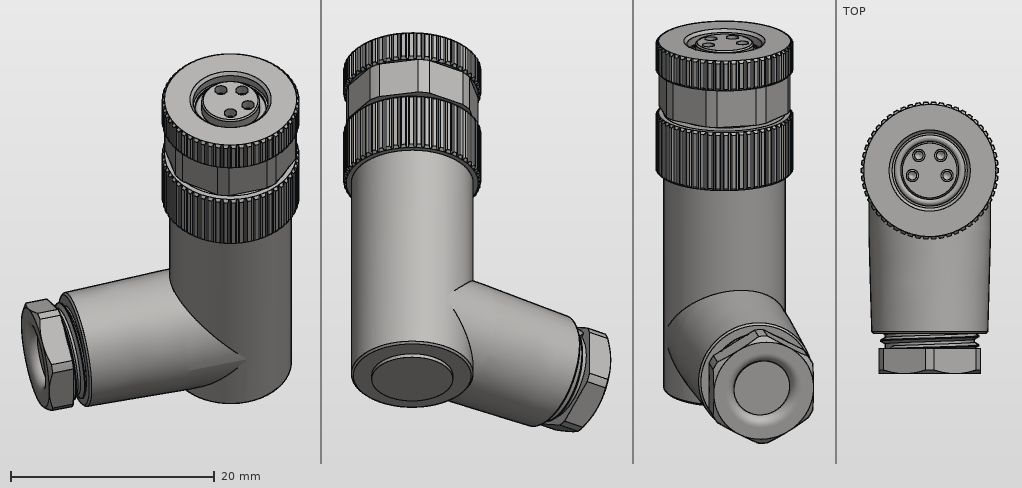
import cadquery as cq
import math

barrel_dia = 12.0
barrel_top = 28.5
bottom_chamfer = 0.2
neck_dia = 10.0
neck_height = 0.5
neck_top = barrel_top + neck_height
foot_dia = 8.0
foot_height = 0.4

branch_z = barrel_dia / 2
branch_taper_start = 6.0
branch_end = 16.05
branch_end_dia = 11.45
branch_end_chamfer = 0.2

knurl_dia = 13.5
knurl_count = 54
knurl_depth = 0.2
crest_share = 0.5
valley_share = 0.25
knurl_chamfer = 0.25

grip_bottom = 22.5
grip_height = barrel_top - grip_bottom

octagon_sides = 8
octagon_flats = 12.4
octagon_corner_dia = 13.0
octagon_height = 3.8
nut_knurl_bottom = neck_top + octagon_height
nut_knurl_height = 3.1
nut_top = nut_knurl_bottom + nut_knurl_height
nut_bore_dia = 7.0
nut_mouth_dia = 8.0
nut_counterbore_dia = 7.4
nut_counterbore_depth = 1.1
nut_mouth_depth = (nut_mouth_dia - nut_counterbore_dia) / 2

insert_dia = 5.7
insert_top = nut_top - 0.15
insert_edge = 0.15
seal_section_dia = (nut_bore_dia - insert_dia) / 2
seal_z = nut_top - nut_counterbore_depth - seal_section_dia / 2
insert_shoulder_z = seal_z - seal_section_dia / 2

socket_points = [(-1.08, 1.48), (1.08, 1.48), (-1.71, -0.5), (1.71, -0.5)]
socket_entry_dia = 1.2
socket_entry_depth = 1.0
contact_dia = 1.8
contact_bore_dia = 0.85
contact_bore_depth = 3.0
drill_point_angle = 118.0
contact_point_depth = contact_bore_dia / 2 / math.tan(math.radians(drill_point_angle / 2))
contact_top = insert_top - socket_entry_depth
contact_length = contact_top - neck_top

gland_sides = 6
gland_flats = 10.0
gland_corner_dia = 11.08
gland_face_dia = 10.0
gland_chamfer_length = 0.35
gland_front = 19.99
gland_hex_length = 2.48
gland_hex_back = gland_front - gland_hex_length
gland_core_dia = 8.8
gland_insertion = 3.0
gland_core_length = gland_hex_back - branch_end + gland_insertion
gland_recess_dia = 5.6
gland_mouth_radius = 1.0
thread_dia = 9.7
thread_pitch = 0.9
thread_turns = 2.4
thread_base = 0.8
thread_crest = 0.1
thread_root_overlap = 0.15
thread_start = branch_end - 0.65


def cylinder(dia, bottom, height):
    """Upright cylinder on the Z axis."""
    return cq.Workplane("XY").workplane(offset=bottom).circle(dia / 2).extrude(height)


def knurled_cylinder(bottom, height):
    """Upright cylinder with straight trapezoidal knurling and chamfered rims."""
    pitch_angle = 2 * math.pi / knurl_count
    crest_radius = knurl_dia / 2
    valley_radius = crest_radius - knurl_depth
    crest_half = crest_share * pitch_angle / 2
    valley_half = valley_share * pitch_angle / 2
    tooth = [
        (crest_radius, -crest_half),
        (crest_radius, crest_half),
        (valley_radius, pitch_angle / 2 - valley_half),
        (valley_radius, pitch_angle / 2 + valley_half),
    ]
    outline = []
    for index in range(knurl_count):
        for radius, offset in tooth:
            angle = index * pitch_angle + offset
            outline.append((radius * math.cos(angle), radius * math.sin(angle)))
    toothed = cq.Workplane("XY").polyline(outline).close().extrude(height)
    blank = cylinder(knurl_dia, 0, height).faces("<Z or >Z").edges().chamfer(knurl_chamfer)
    return toothed.intersect(blank).translate((0, 0, bottom))


def trimmed_polygon(sides, flats, corner_dia, height):
    """Regular prism on Z = 0 with its corners turned down; one flat faces -Y."""
    circumscribed = flats / math.cos(math.pi / sides)
    prism = cq.Workplane("XY").polygon(sides, circumscribed).extrude(height)
    prism = prism.rotate((0, 0, 0), (0, 0, 1), 90 + 180 / sides)
    return prism.intersect(cylinder(corner_dia, 0, height))


def point_along_branch(shape):
    """Turn a shape built along +Z so that it points along -Y on the branch axis."""
    return shape.rotate((0, 0, 0), (1, 0, 0), 90).translate((0, 0, branch_z))


def make_branch():
    """Straight cylinder running into a tapered sleeve."""
    root_radius = barrel_dia / 2
    end_radius = branch_end_dia / 2
    profile = [
        (0, 0),
        (root_radius, 0),
        (root_radius, branch_taper_start),
        (end_radius, branch_end - branch_end_chamfer),
        (end_radius - branch_end_chamfer, branch_end),
        (0, branch_end),
    ]
    return point_along_branch(
        cq.Workplane("XZ").polyline(profile).close().revolve(360, (0, 0, 0), (0, 1, 0))
    )


def make_housing():
    """Barrel with foot, neck and the hollow-ended side branch."""
    barrel = cylinder(barrel_dia, 0, barrel_top).faces("<Z").edges().chamfer(bottom_chamfer)
    foot = cylinder(foot_dia, -foot_height, foot_height)
    neck = cylinder(neck_dia, barrel_top, neck_height)
    gland_hole = point_along_branch(
        cylinder(gland_core_dia, branch_end - gland_insertion, gland_insertion)
    )
    upright = barrel.union(foot).union(neck)
    return upright.union(make_branch().cut(gland_hole), clean=False)


def make_grip_ring():
    """Knurled sleeve fitted over the top of the barrel."""
    return knurled_cylinder(grip_bottom, grip_height).cut(
        cylinder(barrel_dia, grip_bottom, grip_height)
    )


def make_coupling_nut():
    """Octagon below a knurled collar, bored through with a flared mouth."""
    octagon = trimmed_polygon(octagon_sides, octagon_flats, octagon_corner_dia, octagon_height)
    octagon = octagon.translate((0, 0, neck_top))
    nut = octagon.union(knurled_cylinder(nut_knurl_bottom, nut_knurl_height))
    nut = nut.cut(cylinder(nut_bore_dia, neck_top, nut_top - neck_top))
    counterbore_bottom = nut_top - nut_counterbore_depth
    nut = nut.cut(cylinder(nut_counterbore_dia, counterbore_bottom, nut_counterbore_depth))
    mouth = cq.Solid.makeCone(
        nut_counterbore_dia / 2, nut_mouth_dia / 2, nut_mouth_depth,
        pnt=cq.Vector(0, 0, nut_top - nut_mouth_depth),
    )
    return nut.cut(cq.Workplane(mouth))


def make_insert():
    """Stepped carrier with four stepped bores for the contacts."""
    flange = cylinder(nut_bore_dia, neck_top, insert_shoulder_z - neck_top)
    tip = cylinder(insert_dia, insert_shoulder_z, insert_top - insert_shoulder_z)
    insert = flange.union(tip.faces(">Z").edges().chamfer(insert_edge))
    for x, y in socket_points:
        seat = cylinder(contact_dia, neck_top, contact_length)
        entry = cylinder(socket_entry_dia, contact_top, socket_entry_depth)
        insert = insert.cut(seat.union(entry).translate((x, y, 0)))
    return insert


def make_seal():
    """O-ring around the insert tip."""
    ring_radius = (nut_bore_dia - seal_section_dia) / 2
    return cq.Workplane(
        cq.Solid.makeTorus(ring_radius, seal_section_dia / 2, cq.Vector(0, 0, seal_z))
    )


def make_contact(x, y):
    """Socket contact with a drilled blind bore."""
    pin = cylinder(contact_dia, neck_top, contact_length)
    bore = cylinder(contact_bore_dia, contact_top - contact_bore_depth, contact_bore_depth)
    point = cq.Solid.makeCone(
        0, contact_bore_dia / 2, contact_point_depth,
        pnt=cq.Vector(0, 0, contact_top - contact_bore_depth - contact_point_depth),
    )
    return pin.cut(bore).cut(cq.Workplane(point)).translate((x, y, 0))


def make_thread():
    """Helical ridge around the gland core, built along +Z."""
    root_radius = gland_core_dia / 2 - thread_root_overlap
    crest_radius = thread_dia / 2
    helix = cq.Wire.makeHelix(thread_pitch, thread_pitch * thread_turns, root_radius)
    ridge = [
        (root_radius, -thread_base / 2),
        (crest_radius, -thread_crest / 2),
        (crest_radius, thread_crest / 2),
        (root_radius, thread_base / 2),
    ]
    return cq.Workplane("XZ").polyline(ridge).close().sweep(cq.Workplane(helix), isFrenet=True)


def make_gland():
    """Hexagon head with a rounded recess, on a threaded core."""
    hexagon = trimmed_polygon(gland_sides, gland_flats, gland_corner_dia, gland_hex_length)
    hexagon = hexagon.rotate((0, 0, 0), (0, 0, 1), 180 / gland_sides)
    profile = [
        (0, 0),
        (gland_corner_dia / 2, 0),
        (gland_corner_dia / 2, gland_hex_length - gland_chamfer_length),
        (gland_face_dia / 2, gland_hex_length),
        (0, gland_hex_length),
    ]
    turned = cq.Workplane("XZ").polyline(profile).close().revolve(360, (0, 0, 0), (0, 1, 0))
    recess_floor = gland_hex_length - gland_mouth_radius
    mouth_radius = gland_recess_dia / 2
    mouth = (
        cq.Workplane("XZ")
        .moveTo(0, recess_floor)
        .lineTo(mouth_radius, recess_floor)
        .radiusArc((mouth_radius + gland_mouth_radius, gland_hex_length), gland_mouth_radius)
        .lineTo(0, gland_hex_length)
        .close()
        .revolve(360, (0, 0, 0), (0, 1, 0))
    )
    head = hexagon.intersect(turned).cut(mouth).translate((0, 0, gland_hex_back))
    core = cylinder(gland_core_dia, branch_end - gland_insertion, gland_core_length)
    inside_branch = cylinder(barrel_dia, branch_end - gland_insertion, gland_insertion)
    thread = make_thread().translate((0, 0, thread_start)).cut(inside_branch)
    return point_along_branch(core.union(thread).union(head))


housing = make_housing()
grip_ring = make_grip_ring()
coupling_nut = make_coupling_nut()
insert = make_insert()
seal = make_seal()
contacts = [make_contact(x, y).val() for x, y in socket_points]
gland = make_gland()

result = cq.Compound.makeCompound(
    [
        housing.val(),
        grip_ring.val(),
        coupling_nut.val(),
        insert.val(),
        seal.val(),
        *contacts,
        gland.val(),
    ]
)